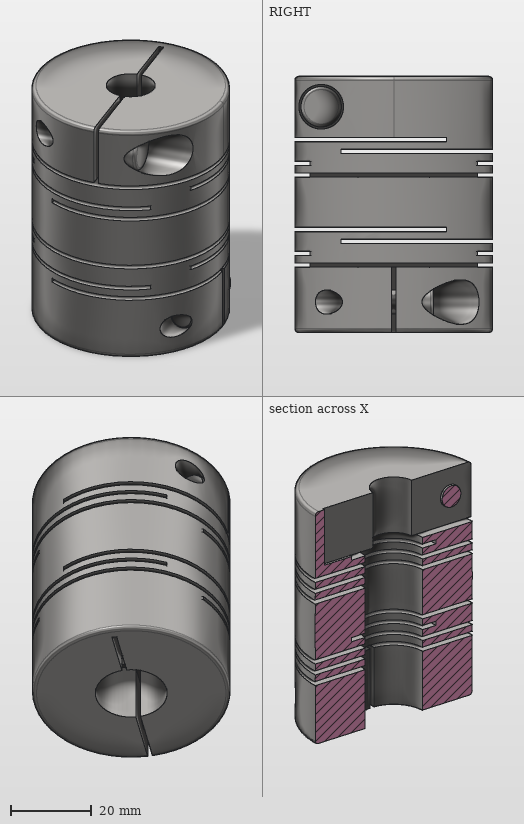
import cadquery as cq


LENGTH = 63.5
OUTER_RADIUS = 24.5
EDGE_FILLET = 1.0
UPPER_BORE_RADIUS = 6.05
LOWER_BORE_RADIUS = 8.9

SLOT_HEIGHT = 1.0
SLOT_REACH = 13.0
FIRST_SLOT_DEPTH = 15.7
SLOT_PITCH = 2.9
PAIR_PITCH = 5.9
GROUP_PITCH = 22.3

SLIT_WIDTH = 1.2
SLIT_REACH = 21.5

SCREW_OFFSET = 18.0
SCREW_INSET = 7.55
SCREW_RADIUS = 3.0
SCREW_LENGTH = 16.0
SCREW_TIP_CHAMFER = 0.5
HEAD_RADIUS = 5.0
HEAD_HEIGHT = 6.05
HEAD_FILLET = 0.75
HEAD_SEAT = 3.8
COUNTERBORE_RADIUS = 5.5

OVERCUT = 0.65
CUT_REACH = OUTER_RADIUS + OVERCUT

first_slot_z = LENGTH - FIRST_SLOT_DEPTH
last_slot_z = first_slot_z - GROUP_PITCH - PAIR_PITCH - SLOT_PITCH
upper_hub_floor = first_slot_z + SLOT_HEIGHT / 2
upper_hub_height = LENGTH - upper_hub_floor
lower_hub_height = last_slot_z - SLOT_HEIGHT / 2


def cylinder_along_x(radius, x_start, x_end):
    """Cylinder on the clamping screw axis, with that axis at Z = 0."""
    return (
        cq.Workplane("YZ", origin=(x_start, -SCREW_OFFSET, 0))
        .circle(radius)
        .extrude(x_end - x_start)
    )


def make_body():
    """Round bar with rounded ends, bored to a different size in each end."""
    bar = cq.Workplane("XY").circle(OUTER_RADIUS).extrude(LENGTH)
    bar = bar.faces("|Z").edges().fillet(EDGE_FILLET)
    upper_bore = cq.Workplane("XY").circle(UPPER_BORE_RADIUS).extrude(LENGTH)
    lower_bore = cq.Workplane("XY").circle(LOWER_BORE_RADIUS).extrude(upper_hub_floor)
    return bar.cut(upper_bore).cut(lower_bore)


def make_slot(z, open_side_angle):
    """Flat slot open toward +X turned by open_side_angle, running past the axis."""
    return (
        cq.Workplane("XY")
        .box(SLOT_REACH + CUT_REACH, 2 * CUT_REACH, SLOT_HEIGHT, centered=(False, True, True))
        .translate((-SLOT_REACH, 0, z))
        .rotate((0, 0, 0), (0, 0, 1), open_side_angle)
    )


def make_slot_group(top_z):
    """Four slots: open toward -Y, +Y, -X and +X, from the top down."""
    slots = make_slot(top_z, -90)
    slots = slots.union(make_slot(top_z - SLOT_PITCH, 90))
    slots = slots.union(make_slot(top_z - PAIR_PITCH, 180))
    return slots.union(make_slot(top_z - PAIR_PITCH - SLOT_PITCH, 0))


def make_clamp_cut(hub_height):
    """Slit open toward -Y and counterbored screw hole, with the screw axis at Z = 0."""
    slit = (
        cq.Workplane("XY")
        .box(SLIT_WIDTH, SLIT_REACH + CUT_REACH, hub_height + OVERCUT, centered=(True, False, False))
        .translate((0, -CUT_REACH, SCREW_INSET - hub_height))
    )
    hole = cylinder_along_x(SCREW_RADIUS, -CUT_REACH, CUT_REACH)
    counterbore = cylinder_along_x(COUNTERBORE_RADIUS, HEAD_SEAT, CUT_REACH)
    return slit.union(hole).union(counterbore)


def make_screw():
    """Cap screw with its head toward +X, with its axis at Z = 0."""
    shank = cylinder_along_x(SCREW_RADIUS, HEAD_SEAT - SCREW_LENGTH, HEAD_SEAT)
    shank = shank.faces("<X").chamfer(SCREW_TIP_CHAMFER)
    head = cylinder_along_x(HEAD_RADIUS, HEAD_SEAT, HEAD_SEAT + HEAD_HEIGHT)
    head = head.faces(">X").edges().fillet(HEAD_FILLET)
    return shank.union(head)


def place_in_upper_hub(shape):
    return shape.translate((0, 0, LENGTH - SCREW_INSET))


def place_in_lower_hub(shape):
    """Turn upside down and a quarter turn, so the slit opens toward +X."""
    return shape.mirror("XY").rotate((0, 0, 0), (0, 0, 1), 90).translate((0, 0, SCREW_INSET))


result = make_body()
for group_top_z in (first_slot_z, first_slot_z - GROUP_PITCH):
    result = result.cut(make_slot_group(group_top_z))

result = result.cut(place_in_upper_hub(make_clamp_cut(upper_hub_height)))
result = result.cut(place_in_lower_hub(make_clamp_cut(lower_hub_height)))

screw = make_screw()
result = result.union(place_in_upper_hub(screw)).union(place_in_lower_hub(screw))